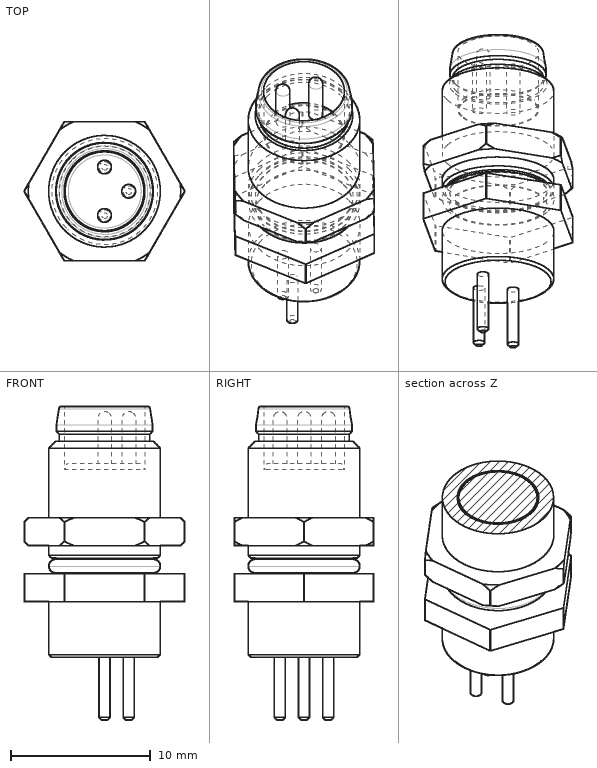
import cadquery as cq

TOTAL_HEIGHT = 22.5

BODY_DIAMETER = 8.0
BODY_BOTTOM = 4.5
BODY_SHOULDER = 20.0
SHOULDER_DIAMETER = 7.0
EDGE_CHAMFER = 0.2

HEX_ACROSS_FLATS = 10.0
HEX_ACROSS_CORNERS = 11.5
HEX_HEIGHT = 2.0
HEX_TURN = 30
FLANGE_BOTTOM = 8.5
FLANGE_TOP = FLANGE_BOTTOM + HEX_HEIGHT
NUT_BOTTOM = FLANGE_TOP + HEX_HEIGHT
NUT_CHAMFER = 0.3

SEAL_GROOVE_DIAMETER = 7.0
SEAL_GROOVE_TOP = 11.6
SEAL_SECTION_DIAMETER = 1.0
SEAL_CENTRE_HEIGHT = 11.05

NECK_DIAMETER = 6.5
HEAD_DIAMETER = 6.9
HEAD_BOTTOM = 20.5
HEAD_TAPER_START = 21.2
RIM_DIAMETER = 6.5
RIM_FILLET = 0.2

SOCKET_DIAMETER = 5.8
SOCKET_FLOOR = 18.0
CARRIER_DIAMETER = 5.65
CARRIER_TOP = 18.4
CARRIER_FILLET = 0.2

PIN_OFFSET = 1.73
PIN_POSITIONS = [(PIN_OFFSET, 0), (0, PIN_OFFSET), (0, -PIN_OFFSET)]
CONTACT_DIAMETER = 1.0
CONTACT_TOP = 22.15
SOLDER_PIN_DIAMETER = 0.8


def cylinder(diameter, bottom, top):
    """Upright cylinder on the Z axis."""
    return cq.Workplane("XY").workplane(offset=bottom).circle(diameter / 2).extrude(top - bottom)


def hexagon(bottom):
    """Hexagonal plate with flats facing +Y and -Y and its corners turned to a cylinder."""
    plate = (
        cq.Workplane("XY")
        .workplane(offset=bottom)
        .polygon(6, HEX_ACROSS_FLATS, circumscribed=True)
        .extrude(HEX_HEIGHT)
        .rotate((0, 0, 0), (0, 0, 1), HEX_TURN)
    )
    return plate.intersect(cylinder(HEX_ACROSS_CORNERS, bottom, bottom + HEX_HEIGHT))


def barrel():
    """Barrel split by the seal groove, with chamfered ends and groove edge."""
    lower = cylinder(BODY_DIAMETER, BODY_BOTTOM, FLANGE_TOP).faces("<Z").chamfer(EDGE_CHAMFER)
    upper = (
        cylinder(BODY_DIAMETER, SEAL_GROOVE_TOP, BODY_SHOULDER)
        .faces(">Z")
        .chamfer((BODY_DIAMETER - SHOULDER_DIAMETER) / 2)
        .faces("<Z")
        .chamfer(EDGE_CHAMFER)
    )
    core = cylinder(SEAL_GROOVE_DIAMETER, FLANGE_TOP, SEAL_GROOVE_TOP)
    return lower.union(core).union(upper)


def nut():
    """Hexagon nut with its corners bevelled by cones at both ends."""
    bevel = cylinder(HEX_ACROSS_CORNERS, NUT_BOTTOM, NUT_BOTTOM + HEX_HEIGHT).edges().chamfer(NUT_CHAMFER)
    return hexagon(NUT_BOTTOM).intersect(bevel)


def seal():
    """Sealing ring flush with the barrel surface."""
    ring_radius = (BODY_DIAMETER - SEAL_SECTION_DIAMETER) / 2
    return (
        cq.Workplane("XZ")
        .center(ring_radius, SEAL_CENTRE_HEIGHT)
        .circle(SEAL_SECTION_DIAMETER / 2)
        .revolve(360, (-ring_radius, 0), (-ring_radius, 1))
    )


def head():
    """Neck and tapered head with a rounded rim."""
    head_radius = HEAD_DIAMETER / 2
    profile = (
        cq.Workplane("XZ")
        .moveTo(0, HEAD_BOTTOM)
        .lineTo(head_radius - EDGE_CHAMFER, HEAD_BOTTOM)
        .lineTo(head_radius, HEAD_BOTTOM + EDGE_CHAMFER)
        .lineTo(head_radius, HEAD_TAPER_START)
        .lineTo(RIM_DIAMETER / 2, TOTAL_HEIGHT)
        .lineTo(0, TOTAL_HEIGHT)
        .close()
    )
    solid = profile.revolve(360, (0, 0), (0, 1)).faces(">Z").edges().fillet(RIM_FILLET)
    return solid.union(cylinder(NECK_DIAMETER, BODY_SHOULDER, HEAD_BOTTOM))


def socket():
    """Socket cavity, leaving a round-edged contact carrier standing on its floor."""
    cavity = cylinder(SOCKET_DIAMETER, SOCKET_FLOOR, TOTAL_HEIGHT)
    carrier = cylinder(CARRIER_DIAMETER, SOCKET_FLOOR, CARRIER_TOP).faces(">Z").edges().fillet(CARRIER_FILLET)
    return cavity.cut(carrier)


def contact():
    """Plug contact rising from the carrier to a hemispherical tip."""
    tip_centre = CONTACT_TOP - CONTACT_DIAMETER / 2
    tip = cq.Workplane("XY").sphere(CONTACT_DIAMETER / 2).translate((0, 0, tip_centre))
    return cylinder(CONTACT_DIAMETER, SOCKET_FLOOR, tip_centre).union(tip)


def solder_pin():
    """Solder pin rooted inside the barrel, with a chamfered tip."""
    return cylinder(SOLDER_PIN_DIAMETER, 0, FLANGE_BOTTOM).faces("<Z").chamfer(EDGE_CHAMFER)


result = barrel().union(hexagon(FLANGE_BOTTOM)).union(nut()).union(seal()).union(head())
result = result.cut(socket())
for x, y in PIN_POSITIONS:
    result = result.union(contact().translate((x, y, 0)))
    result = result.union(solder_pin().translate((x, y, 0)))